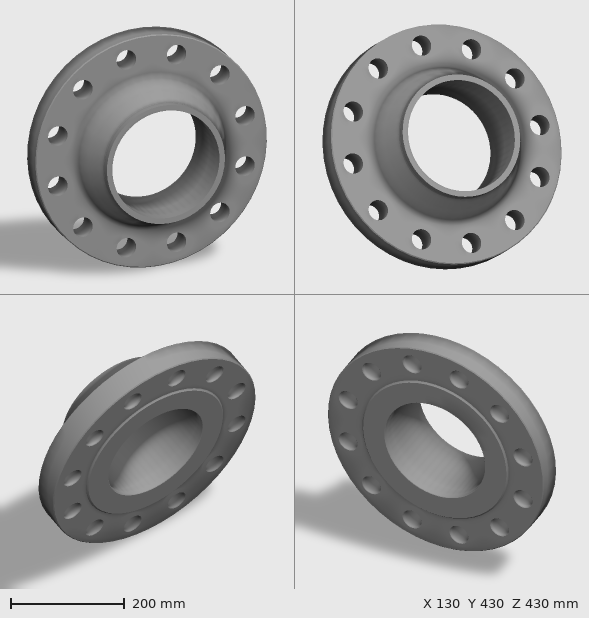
import cadquery as cq

total_length = 130.0
flange_diameter = 430.0
flange_back = 51.0
rim_chamfer = 1.7

face_height = 3.0
face_diameter = 285.0
face_base_diameter = face_diameter + 2 * face_height

neck_root_diameter = 278.0
neck_end_diameter = 219.5
neck_end_length = 16.0
neck_end_start = total_length - neck_end_length
neck_fillet = 10.0

bore_diameter = 199.0

bolt_count = 12
bolt_circle_diameter = 360.0
bolt_hole_diameter = 36.0
hole_chamfer = 1.0
first_bolt_angle = 180 / bolt_count


def make_body():
    """Revolve the half section about X, then blend both ends of the cone."""
    flange_radius = flange_diameter / 2
    section = [
        (0, 0),
        (0, face_diameter / 2),
        (face_height, face_base_diameter / 2),
        (face_height, flange_radius - rim_chamfer),
        (face_height + rim_chamfer, flange_radius),
        (flange_back - rim_chamfer, flange_radius),
        (flange_back, flange_radius - rim_chamfer),
        (flange_back, neck_root_diameter / 2),
        (neck_end_start, neck_end_diameter / 2),
        (total_length, neck_end_diameter / 2),
        (total_length, 0),
    ]
    body = cq.Workplane("XZ").polyline(section).close().revolve(360, (0, 0, 0), (1, 0, 0))
    tolerance = 0.5
    for x, diameter in [(flange_back, neck_root_diameter), (neck_end_start, neck_end_diameter)]:
        reach = diameter / 2 + tolerance
        around_joint = cq.selectors.BoxSelector(
            (x - tolerance, -reach, -reach),
            (x + tolerance, reach, reach),
            boundingbox=True,
        )
        body = body.edges(around_joint).fillet(neck_fillet)
    return body


def make_hole_cutter(diameter, start, end):
    """Cutter along X for a round hole whose mouth at start is chamfered."""
    radius = diameter / 2
    section = [
        (start, 0),
        (start, radius + hole_chamfer),
        (start + hole_chamfer, radius),
        (end, radius),
        (end, 0),
    ]
    return cq.Workplane("XZ").polyline(section).close().revolve(360, (0, 0, 0), (1, 0, 0))


def cut_bore(body):
    return body.cut(make_hole_cutter(bore_diameter, 0, total_length))


def cut_bolt_holes(body):
    hole = make_hole_cutter(bolt_hole_diameter, face_height, flange_back)
    hole = hole.translate((0, bolt_circle_diameter / 2, 0))
    for index in range(bolt_count):
        angle = first_bolt_angle + index * 360 / bolt_count
        body = body.cut(hole.rotate((0, 0, 0), (1, 0, 0), angle))
    return body


result = cut_bolt_holes(cut_bore(make_body()))